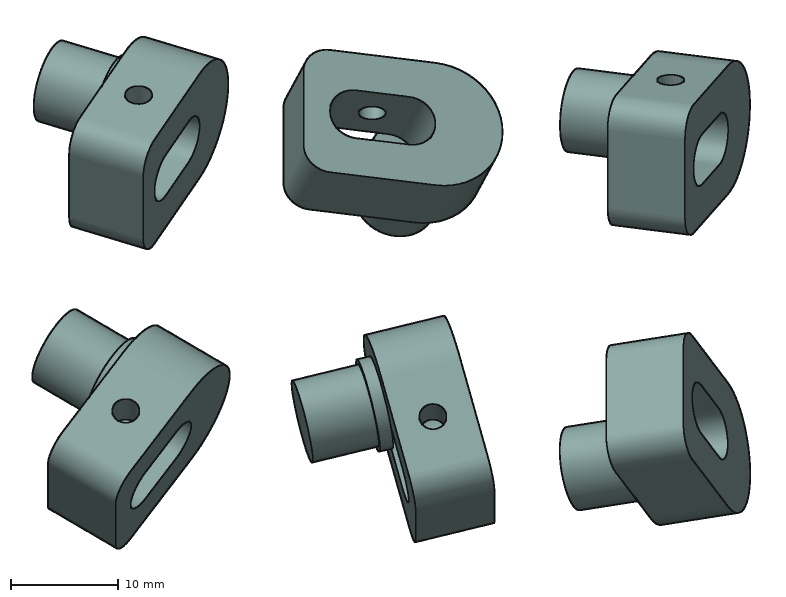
import cadquery as cq

block_length = 19.19
block_height = 12.97
block_thickness = 7.62
corner_radius = 2.53
end_radius = block_height / 2

pin_diameter = 7.9
pin_length = 6.35
collar_diameter = 8.88
collar_length = 1.27

slot_width = 5.07
slot_end_wall = 2.53

hole_diameter = 2.53
hole_from_collar_face = 3.67

square_end_y = end_radius - block_length
slot_end_y = square_end_y + slot_end_wall
slot_middle_y = slot_end_y / 2


def make_block():
    """Block with one fully rounded end and two rounded corners."""
    rounded_end = cq.Workplane("YZ").circle(end_radius).extrude(block_thickness)
    body = (
        cq.Workplane("YZ")
        .center(square_end_y / 2, 0)
        .rect(-square_end_y, block_height)
        .extrude(block_thickness)
        .edges("|X and <Y")
        .fillet(corner_radius)
    )
    return body.union(rounded_end)


def make_slot():
    """Round-ended slot cutter through the block thickness."""
    return (
        cq.Workplane("YZ")
        .center(slot_middle_y, 0)
        .slot2D(-slot_end_y, slot_width)
        .extrude(block_thickness)
    )


def make_hole():
    """Vertical hole cutter reaching from the slot's middle to the top face."""
    return (
        cq.Workplane("XY")
        .center(hole_from_collar_face, slot_middle_y)
        .circle(hole_diameter / 2)
        .extrude(end_radius)
    )


def make_pin():
    """Collar and pin standing out from the block along -X."""
    collar = cq.Workplane("YZ").circle(collar_diameter / 2).extrude(-collar_length)
    pin = cq.Workplane("YZ").circle(pin_diameter / 2).extrude(-(collar_length + pin_length))
    return collar.union(pin)


result = make_block().cut(make_slot()).cut(make_hole()).union(make_pin())